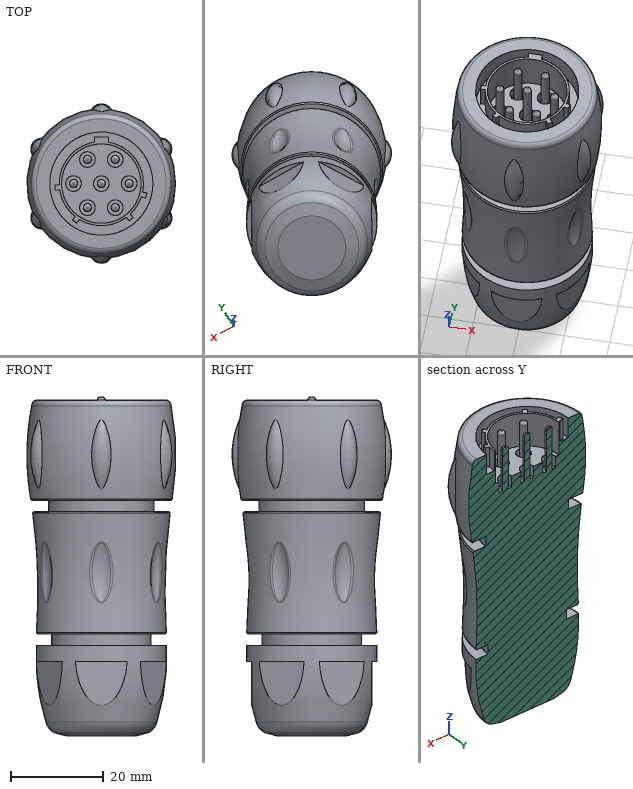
import cadquery as cq
import math

nut_edge_z = 0.7
nut_corner_z = 1.75
nut_side_z = 3.1
nut_mid_z = 10.8
nut_top_z = 19.7
sleeve_bottom_z = 22.1
sleeve_waist_z = 32.7
sleeve_top_z = 48.6
coupler_bottom_z = 51.05
coupler_max_z = 61.2
coupler_shoulder_z = 71.55
coupler_corner_z = 72.4
coupler_top_z = 72.8
total_height = 73.45

nut_base_radius = 7.35
nut_edge_radius = 10.1
nut_corner_radius = 11.4
nut_side_radius = 12.05
nut_mid_radius = 13.7
nut_top_radius = 14.1
lower_neck_radius = 10.8
sleeve_bottom_radius = 14.1
sleeve_waist_radius = 13.8
sleeve_top_radius = 14.9
upper_neck_radius = 11.45
coupler_bottom_radius = 15.35
coupler_max_radius = 16.15
coupler_shoulder_radius = 15.1
coupler_corner_radius = 14.8
coupler_face_radius = 14.0
edge_chamfer = 0.3

grip_angles = [30 + 60 * i for i in range(6)]
bump_z = 61.0
bump_tip_radius = 17.25
bump_cross_radius = 2.4
bump_arc_radius = 18.35
dimple_z = 34.9
dimple_depth = 0.9
dimple_cross_radius = 3.75
dimple_arc_radius = 19.8
dimple_edge_fillet = 0.7
rim_search_height = 1.5
flat_distance = 13.0
flat_top_z = 16.15

bore_radius = 11.2
bore_floor_z = 67.6
shroud_outer_radius = 9.1
shroud_inner_radius = 8.6
shroud_floor_z = 64.1
key_outer_radius = 10.05
wide_key_width = 3.0
narrow_key_width = 1.1
narrow_key_angles = [-15, -50, -125, -175]
pin_radius = 0.9
pin_tip_fillet = 0.65
pin_circle_radius = 6.0
outer_pin_angles = [60 * i for i in range(6)]
outer_pin_drop = 0.9
pin_well_radius = 1.7
pin_well_depth = 2.95


def cylinder(radius, bottom_z, top_z):
    return cq.Workplane("XY").workplane(offset=bottom_z).circle(radius).extrude(top_z - bottom_z)


def around_axis(shape, angle):
    return shape.rotate((0, 0, 0), (0, 0, 1), angle)


def spindle(axis_distance, center_z, cross_radius, arc_radius):
    """Barrel of revolution about a vertical axis, tapering to a point at both ends."""
    half_length = math.sqrt(arc_radius**2 - (arc_radius - cross_radius) ** 2)
    return (
        cq.Workplane("XZ")
        .moveTo(0, -half_length)
        .threePointArc((cross_radius, 0), (0, half_length))
        .close()
        .revolve(360, (0, 0, 0), (0, 1, 0))
        .translate((axis_distance, 0, center_z))
    )


def nut():
    body = (
        cq.Workplane("XZ")
        .lineTo(nut_base_radius, 0)
        .lineTo(nut_edge_radius, nut_edge_z)
        .threePointArc((nut_corner_radius, nut_corner_z), (nut_side_radius, nut_side_z))
        .threePointArc((nut_mid_radius, nut_mid_z), (nut_top_radius, nut_top_z))
        .lineTo(0, nut_top_z)
        .close()
        .revolve(360, (0, 0, 0), (0, 1, 0))
    )
    flat_cutter = cq.Workplane("XY").box(
        nut_top_radius, 2 * nut_top_radius, flat_top_z, centered=(False, True, False)
    ).translate((flat_distance, 0, 0))
    for angle in grip_angles:
        body = body.cut(around_axis(flat_cutter, angle))
    return body


def sleeve():
    body = (
        cq.Workplane("XZ")
        .moveTo(0, sleeve_bottom_z)
        .lineTo(sleeve_bottom_radius - edge_chamfer, sleeve_bottom_z)
        .lineTo(sleeve_bottom_radius, sleeve_bottom_z + edge_chamfer)
        .threePointArc(
            (sleeve_waist_radius, sleeve_waist_z),
            (sleeve_top_radius, sleeve_top_z - edge_chamfer),
        )
        .lineTo(sleeve_top_radius - edge_chamfer, sleeve_top_z)
        .lineTo(0, sleeve_top_z)
        .close()
        .revolve(360, (0, 0, 0), (0, 1, 0))
    )
    axis_distance = sleeve_waist_radius - dimple_depth + dimple_cross_radius
    dimple = spindle(axis_distance, dimple_z, dimple_cross_radius, dimple_arc_radius)
    for angle in grip_angles:
        body = body.cut(around_axis(dimple, angle))
    dimple_rims = cq.selectors.BoxSelector(
        (-sleeve_top_radius, -sleeve_top_radius, dimple_z - rim_search_height),
        (sleeve_top_radius, sleeve_top_radius, dimple_z + rim_search_height),
    )
    return body.edges(dimple_rims).fillet(dimple_edge_fillet)


def coupler():
    body = (
        cq.Workplane("XZ")
        .moveTo(0, coupler_bottom_z)
        .lineTo(coupler_bottom_radius - edge_chamfer, coupler_bottom_z)
        .lineTo(coupler_bottom_radius, coupler_bottom_z + edge_chamfer)
        .threePointArc(
            (coupler_max_radius, coupler_max_z),
            (coupler_shoulder_radius, coupler_shoulder_z),
        )
        .threePointArc(
            (coupler_corner_radius, coupler_corner_z),
            (coupler_face_radius, coupler_top_z),
        )
        .lineTo(0, coupler_top_z)
        .close()
        .revolve(360, (0, 0, 0), (0, 1, 0))
    )
    bump = spindle(bump_tip_radius - bump_cross_radius, bump_z, bump_cross_radius, bump_arc_radius)
    for angle in grip_angles:
        body = body.union(around_axis(bump, angle))
    return body.cut(cylinder(bore_radius, bore_floor_z, coupler_top_z))


def key(width, angle):
    rib = cq.Workplane("XY").box(
        key_outer_radius, width, coupler_top_z - bore_floor_z, centered=(False, True, False)
    ).translate((0, 0, bore_floor_z))
    return around_axis(rib, angle)


def pin(x, y, top_z):
    bottom_z = shroud_floor_z - pin_well_depth
    rod = cylinder(pin_radius, bottom_z, top_z).faces(">Z").edges().fillet(pin_tip_fillet)
    return rod.translate((x, y, 0))


def add_contacts(body):
    body = body.union(cylinder(shroud_outer_radius, bore_floor_z, coupler_top_z))
    body = body.union(key(wide_key_width, 90))
    for angle in narrow_key_angles:
        body = body.union(key(narrow_key_width, angle))
    body = body.cut(cylinder(shroud_inner_radius, shroud_floor_z, coupler_top_z))

    pins = [(0, 0, total_height)]
    for pin_angle in outer_pin_angles:
        angle = math.radians(pin_angle)
        x = pin_circle_radius * math.cos(angle)
        y = pin_circle_radius * math.sin(angle)
        pins.append((x, y, total_height - outer_pin_drop))
    well = cylinder(pin_well_radius, shroud_floor_z - pin_well_depth, shroud_floor_z)
    for x, y, top_z in pins:
        body = body.cut(well.translate((x, y, 0)))
        body = body.union(pin(x, y, top_z))
    return body


lower_neck = cylinder(lower_neck_radius, nut_top_z, sleeve_bottom_z)
upper_neck = cylinder(upper_neck_radius, sleeve_top_z, coupler_bottom_z)
shell = nut().union(lower_neck).union(sleeve()).union(upper_neck).union(coupler())
result = add_contacts(shell)